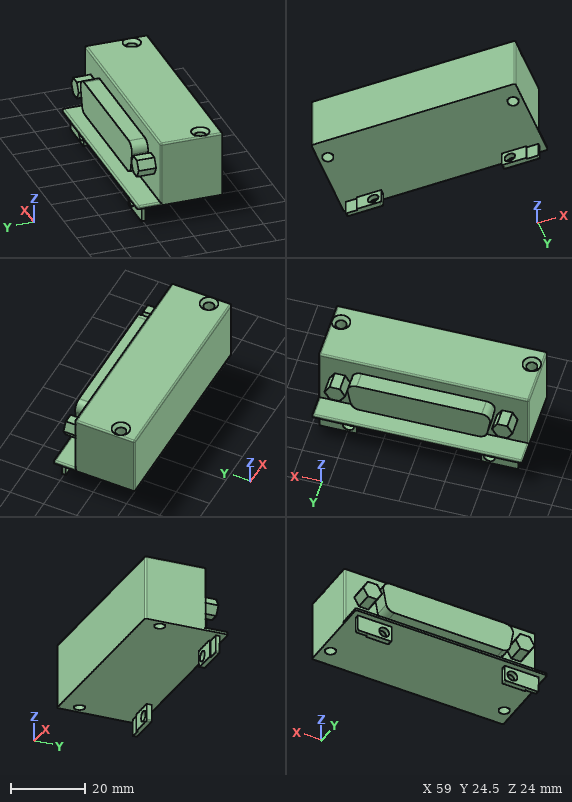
import cadquery as cq
import math


width = 59.0
total_depth = 24.5
total_height = 24.0
housing_depth = 18.0
tab_height = 5.0
housing_height = total_height - tab_height
flange_thickness = 1.0
edge_radius = 0.5

screw_spacing = 53.5
screw_y = 5.5
screw_diameter = 3.0
countersink_diameter = 5.0
countersink_angle = 90.0

connector_z = 10.0
connector_height = 9.6
connector_flat_width = 35.05
connector_radius = 2.5
connector_slant = 10.0
connector_length = 4.65

jack_spacing = 46.95
jack_across_flats = 5.0
jack_length = 5.0

tab_inset = 1.65
tab_width = 10.45
tab_outer_width = 3.35
tab_back_y = 22.7
tab_thickness = 1.55
tab_outer_thickness = 1.1
tab_corner_radius = 0.5
tab_hole_diameter = 3.0
tab_hole_inset = 2.35
tab_hole_drop = 2.65


def back_face(z):
    """Workplane on the back face at height z, facing +Y; local X points toward -X."""
    return cq.Workplane("XZ", origin=(0, housing_depth, z)).transformed(rotate=(0, 180, 0))


def housing():
    """L-shaped block with every edge rounded except the underside and the inner corner."""
    profile = (
        cq.Workplane("YZ", origin=(-width / 2, 0, 0))
        .polyline([
            (0, 0),
            (total_depth, 0),
            (total_depth, flange_thickness),
            (housing_depth, flange_thickness),
            (housing_depth, housing_height),
            (0, housing_height),
        ])
        .close()
    )
    block = profile.extrude(width)
    inner_corner = cq.selectors.NearestToPointSelector((0, housing_depth, flange_thickness))
    upper_edges = cq.selectors.StringSyntaxSelector("not <Z")
    return block.edges(cq.selectors.SubtractSelector(upper_edges, inner_corner)).fillet(edge_radius)


def connector():
    """D-shaped plug, wide side up, with slanted sides and rounded corners."""
    slant = math.radians(connector_slant)
    top_setback = connector_radius / math.tan((math.pi / 2 - slant) / 2)
    top_half = connector_flat_width / 2 + top_setback
    bottom_half = top_half - connector_height * math.tan(slant)
    return (
        back_face(connector_z)
        .polyline([
            (-top_half, connector_height / 2),
            (top_half, connector_height / 2),
            (bottom_half, -connector_height / 2),
            (-bottom_half, -connector_height / 2),
        ])
        .close()
        .extrude(connector_length)
        .edges("|Y")
        .fillet(connector_radius)
    )


def jack_screws():
    """Pair of hexagonal posts with corners pointing sideways."""
    across_corners = jack_across_flats / math.cos(math.pi / 6)
    return (
        back_face(connector_z)
        .pushPoints([(-jack_spacing / 2, 0), (jack_spacing / 2, 0)])
        .polygon(6, across_corners)
        .extrude(jack_length)
    )


def left_tab():
    """Tab with a thin outer part, a thicker inner part and a hole near its inner edge."""
    outer_x = -width / 2 + tab_inset
    inner_x = outer_x + tab_width
    tab = (
        cq.Workplane("XY")
        .polyline([
            (outer_x, tab_back_y),
            (inner_x, tab_back_y),
            (inner_x, tab_back_y - tab_thickness),
            (outer_x + tab_outer_width, tab_back_y - tab_thickness),
            (outer_x + tab_outer_width, tab_back_y - tab_outer_thickness),
            (outer_x, tab_back_y - tab_outer_thickness),
        ])
        .close()
        .extrude(-tab_height)
    )
    tab = tab.faces("<X or >X").edges("<Z").fillet(tab_corner_radius)
    hole = (
        cq.Workplane("XZ", origin=(inner_x - tab_hole_inset, tab_back_y, -tab_hole_drop))
        .circle(tab_hole_diameter / 2)
        .extrude(tab_thickness)
    )
    return tab.cut(hole)


def with_screw_holes(body):
    """Cut the countersunk holes down through the top of the housing."""
    return (
        body.copyWorkplane(cq.Workplane("XY", origin=(0, screw_y, housing_height)))
        .pushPoints([(-screw_spacing / 2, 0), (screw_spacing / 2, 0)])
        .cskHole(screw_diameter, countersink_diameter, countersink_angle)
    )


tab = left_tab()
result = (
    with_screw_holes(housing())
    .union(connector())
    .union(jack_screws())
    .union(tab)
    .union(tab.mirror("YZ"))
)